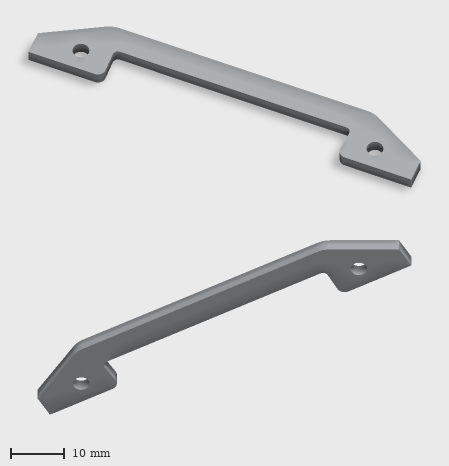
import cadquery as cq

length = 76.8
width = 11.5
thickness = 2.5

end_height = 4.65
top_edge_length = 52.4
top_corner_radius = 5.0

bar_width = 5.0
gap_mouth_length = 47.0
gap_root_length = 47.5
foot_corner_radius = 1.5
gap_root_radius = 1.0

hole_diameter = 3.1
hole_spacing = 59.0
hole_height = 4.0

bottom_y = -width / 2
top_y = width / 2
end_y = bottom_y + end_height
gap_root_y = top_y - bar_width


def upright_edges_at(half_spacing, y):
    """Select the two vertical edges that mirror each other at +/- half_spacing."""
    tolerance = 0.05
    left_x = -half_spacing
    left = cq.selectors.BoxSelector(
        (left_x - tolerance, y - tolerance, 0),
        (left_x + tolerance, y + tolerance, thickness),
    )
    right = cq.selectors.BoxSelector(
        (half_spacing - tolerance, y - tolerance, 0),
        (half_spacing + tolerance, y + tolerance, thickness),
    )
    return left + right


def make_plate():
    """Bridge-shaped plate with sharp corners."""
    right_half = [
        (top_edge_length / 2, top_y),
        (length / 2, end_y),
        (length / 2, bottom_y),
        (gap_mouth_length / 2, bottom_y),
        (gap_root_length / 2, gap_root_y),
    ]
    left_half = [(-x, y) for x, y in reversed(right_half)]
    return cq.Workplane("XY").polyline(right_half + left_half).close().extrude(thickness)


def round_corners(plate):
    """Round the shoulders, the inner corners of the feet and the roots of the gap."""
    corners = [
        (top_edge_length / 2, top_y, top_corner_radius),
        (gap_mouth_length / 2, bottom_y, foot_corner_radius),
        (gap_root_length / 2, gap_root_y, gap_root_radius),
    ]
    for half_spacing, y, radius in corners:
        plate = plate.edges(upright_edges_at(half_spacing, y)).fillet(radius)
    return plate


def drill_holes(plate):
    """Drill one through hole in each foot."""
    hole_y = bottom_y + hole_height
    centres = [(-hole_spacing / 2, hole_y), (hole_spacing / 2, hole_y)]
    drills = cq.Workplane("XY").pushPoints(centres).circle(hole_diameter / 2).extrude(thickness)
    return plate.cut(drills)


result = drill_holes(round_corners(make_plate()))